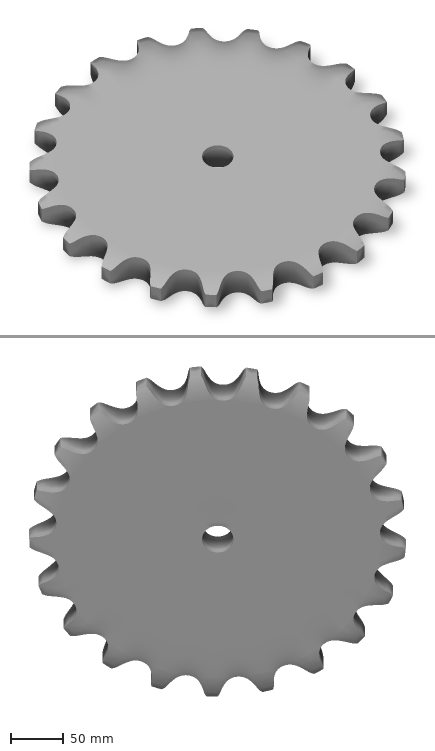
import cadquery as cq
import math

TOOTH_COUNT = 21
OUTER_DIAMETER = 361.3
OUTER_RADIUS = OUTER_DIAMETER / 2
PITCH_RADIUS = 170.5
ROLLER_DIAMETER = 29.2
ROLLER_CLEARANCE = 0.5
THICKNESS = 29.2
BORE_DIAMETER = 30.0
FACE_RADIUS = 156.3
SIDE_ROUND_RADIUS = 51.0
OVERCUT = 3.5

HALF_PITCH_ANGLE = math.pi / TOOTH_COUNT
SEATING_ANGLE = math.radians(35 + 60 / TOOTH_COUNT)
WORKING_SWEEP = math.radians(18 - 56 / TOOTH_COUNT)
WORKING_OFFSET = 0.8 * ROLLER_DIAMETER
TOPPING_OFFSET = 1.4 * ROLLER_DIAMETER


def polar(center, radius, angle):
    """Point at a distance and angle from a centre."""
    return (center[0] + radius * math.cos(angle), center[1] + radius * math.sin(angle))


def mirrored(point):
    """The same point on the other flank of the gap."""
    return (-point[0], point[1])


def blank():
    """Bored disc whose rim curves inward from both faces towards the tooth tips."""
    half = THICKNESS / 2
    reach = OUTER_RADIUS - FACE_RADIUS
    full_drop = math.asin(reach / SIDE_ROUND_RADIUS)
    top_center = (FACE_RADIUS, half - SIDE_ROUND_RADIUS)
    middle = polar(top_center, SIDE_ROUND_RADIUS, math.pi / 2 - full_drop / 2)
    tip = polar(top_center, SIDE_ROUND_RADIUS, math.pi / 2 - full_drop)
    return (
        cq.Workplane("XZ")
        .moveTo(BORE_DIAMETER / 2, -half)
        .lineTo(FACE_RADIUS, -half)
        .threePointArc((middle[0], -middle[1]), (tip[0], -tip[1]))
        .lineTo(*tip)
        .threePointArc(middle, (FACE_RADIUS, half))
        .lineTo(BORE_DIAMETER / 2, half)
        .close()
        .revolve(360, (0, 0, 0), (0, 1, 0))
    )


def tooth_gap():
    """Cutter for the gap on +Y: seating arc, working arc, short straight and topping arc."""
    roller = (0, PITCH_RADIUS)
    seating_radius = (ROLLER_DIAMETER + ROLLER_CLEARANCE) / 2
    working_radius = seating_radius + WORKING_OFFSET
    working_center = polar(roller, WORKING_OFFSET, math.pi - SEATING_ANGLE)
    topping_center = polar(roller, TOPPING_OFFSET, -HALF_PITCH_ANGLE)

    normal = WORKING_SWEEP - SEATING_ANGLE
    center_gap = (topping_center[0] - working_center[0]) * math.cos(normal)
    center_gap += (topping_center[1] - working_center[1]) * math.sin(normal)
    topping_radius = center_gap - working_radius

    outside = OUTER_RADIUS + OVERCUT
    center_distance = math.hypot(*topping_center)
    cosine = outside**2 - center_distance**2 - topping_radius**2
    cosine /= 2 * center_distance * topping_radius
    topping_end = math.atan2(topping_center[1], topping_center[0]) + math.acos(cosine)
    topping_start = math.pi + normal

    seating_bottom = (0, PITCH_RADIUS - seating_radius)
    seating_end = polar(roller, seating_radius, -SEATING_ANGLE)
    working_middle = polar(working_center, working_radius, -SEATING_ANGLE + WORKING_SWEEP / 2)
    working_end = polar(working_center, working_radius, normal)
    straight_end = polar(topping_center, topping_radius, topping_start)
    topping_middle = polar(topping_center, topping_radius, (topping_start + topping_end) / 2)
    flank_end = polar(topping_center, topping_radius, topping_end)

    return (
        cq.Workplane("XY")
        .workplane(offset=-THICKNESS)
        .moveTo(*mirrored(flank_end))
        .threePointArc(mirrored(topping_middle), mirrored(straight_end))
        .lineTo(*mirrored(working_end))
        .threePointArc(mirrored(working_middle), mirrored(seating_end))
        .threePointArc(seating_bottom, seating_end)
        .threePointArc(working_middle, working_end)
        .lineTo(*straight_end)
        .threePointArc(topping_middle, flank_end)
        .threePointArc((0, outside), mirrored(flank_end))
        .close()
        .extrude(2 * THICKNESS)
    )


result = blank()
gap = tooth_gap()
for index in range(TOOTH_COUNT):
    result = result.cut(gap.rotate((0, 0, 0), (0, 0, 1), index * 360 / TOOTH_COUNT))